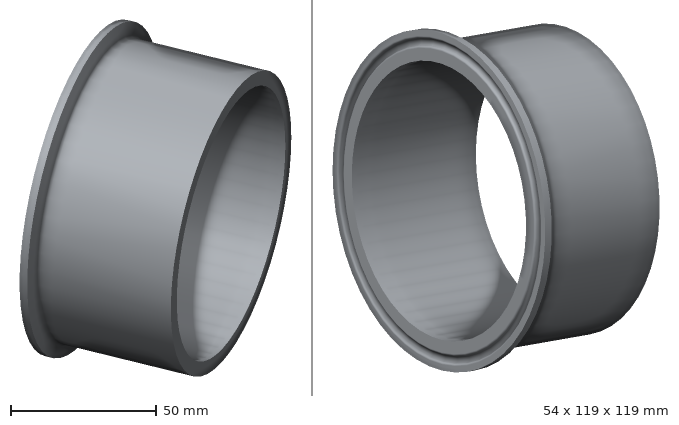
import cadquery as cq
import math

length = 54.0
flange_radius = 59.5
tube_radius = 108.1 / 2
bore_radius = 97.4 / 2

rim_width = 2.9
cone_angle = math.radians(20)
neck_fillet = 1.2

groove_center_radius = 55.2
groove_half_width = 2.08
groove_bottom_radius = 1.3
groove_edge_radius = 0.8
flank_angle = math.radians(70)


def ferrule_body():
    """Tube with a clamp flange whose conical back blends into the tube."""
    fillet_center_radius = tube_radius + neck_fillet
    cone_end_radius = fillet_center_radius - neck_fillet * math.sin(cone_angle)
    cone_end_x = rim_width + (flange_radius - cone_end_radius) * math.tan(cone_angle)
    fillet_center_x = cone_end_x + neck_fillet * math.cos(cone_angle)
    middle_angle = (math.pi / 2 + cone_angle) / 2
    fillet_middle = (
        fillet_center_x - neck_fillet * math.cos(middle_angle),
        fillet_center_radius - neck_fillet * math.sin(middle_angle),
    )
    profile = (
        cq.Workplane("XY")
        .moveTo(0, bore_radius)
        .lineTo(0, flange_radius)
        .lineTo(rim_width, flange_radius)
        .lineTo(cone_end_x, cone_end_radius)
        .threePointArc(fillet_middle, (fillet_center_x, tube_radius))
        .lineTo(length, tube_radius)
        .lineTo(length, bore_radius)
        .close()
    )
    return profile.revolve(360, (0, 0, 0), (1, 0, 0))


def gasket_groove():
    """Ring cutter: round bottom, steep flanks and a convex rounded edge on each side."""
    edge_half_width = groove_half_width - groove_edge_radius * math.sin(flank_angle)
    bottom_half_width = groove_bottom_radius * math.sin(flank_angle)
    edge_depth = groove_edge_radius * (1 - math.cos(flank_angle))
    flank_depth = edge_depth + (edge_half_width - bottom_half_width) * math.tan(flank_angle)
    depth = flank_depth + groove_bottom_radius * (1 - math.cos(flank_angle))

    middle_half_width = groove_half_width - groove_edge_radius * math.sin(flank_angle / 2)
    middle_depth = groove_edge_radius * (1 - math.cos(flank_angle / 2))

    center = groove_center_radius
    profile = (
        cq.Workplane("XY")
        .moveTo(0, center - groove_half_width)
        .threePointArc((middle_depth, center - middle_half_width), (edge_depth, center - edge_half_width))
        .lineTo(flank_depth, center - bottom_half_width)
        .threePointArc((depth, center), (flank_depth, center + bottom_half_width))
        .lineTo(edge_depth, center + edge_half_width)
        .threePointArc((middle_depth, center + middle_half_width), (0, center + groove_half_width))
        .close()
    )
    return profile.revolve(360, (0, 0, 0), (1, 0, 0))


result = ferrule_body().cut(gasket_groove())